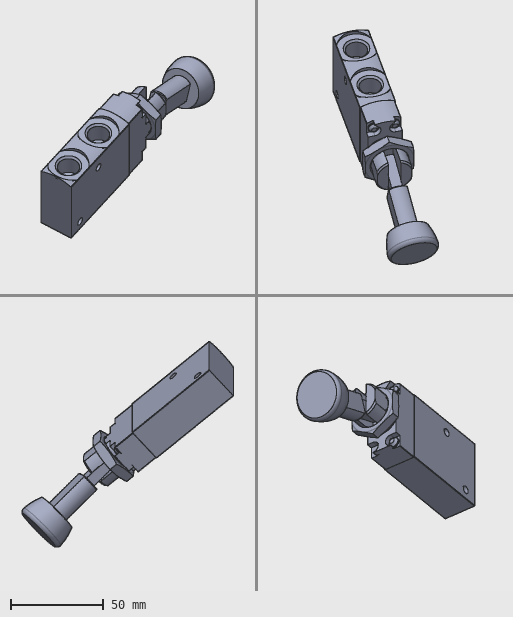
import cadquery as cq
import math


body_width = 20.0
cap_width = 19.2
body_length = 55.2
cap_end = 71.4
side_half_height = 21.0
crown_height = 23.0
edge_chamfer = 0.3

port_centers_y = (11.8, 40.2)
port_diameter = 12.0
port_depth = 12.2
port_mouth_diameter = 14.3
spot_face_diameter = 22.3
mounting_hole_diameter = 4.5
mounting_holes_yz = ((8.4, -15.0), (25.8, 13.0))

screw_x = 5.8
screw_z = 17.3
pocket_diameter = 6.8
pocket_floor = 67.9
pocket_relief_angle = 45.0
head_diameter = 6.0
head_top_diameter = 3.1
head_rim = 0.8
head_height = 2.5

neck_diameter = 21.9
neck_core_diameter = 20.4
neck_end = 90.6
neck_chamfer = 1.0
slot_width = 6.9
slot_floor = 74.8

nut_start = 74.5
nut_end = 80.3
nut_across_flats = 27.2
nut_sides = 6
nut_corner_chamfer_angle = 15.0

pivot_y = 75.7
lever_tilt = 20.0
tongue_start = 0.5
tongue_width = 6.1
tongue_height = 8.0
stem_start = 21.0
stem_diameter = 15.3
stem_width = 10.3
stem_chamfer = 0.5
knob_start = 45.0
knob_widest = 56.0
knob_end = 58.7
knob_base_diameter = 23.3
knob_middle_diameter = 26.8
knob_diameter = 28.4
knob_shoulder_diameter = 27.3
knob_shoulder = 57.9
knob_face_diameter = 25.5


def along_y(y):
    """Plane across the valve at the given Y; local x is X and local y is Z."""
    return cq.Workplane(cq.Plane(origin=(0, y, 0), xDir=(1, 0, 0), normal=(0, -1, 0)))


def crowned_block(width, start, end):
    """Block with chamfered long edges and an arched top, between two Y positions."""
    half_width = width / 2
    inner_width = half_width - edge_chamfer
    inner_height = side_half_height - edge_chamfer
    return (
        along_y(end)
        .moveTo(-inner_width, -side_half_height)
        .lineTo(inner_width, -side_half_height)
        .lineTo(half_width, -inner_height)
        .lineTo(half_width, inner_height)
        .lineTo(inner_width, side_half_height)
        .threePointArc((0, crown_height), (-inner_width, side_half_height))
        .lineTo(-half_width, inner_height)
        .lineTo(-half_width, -inner_height)
        .close()
        .extrude(end - start)
    )


def disc(diameter, start, end):
    """Round bar on the neck axis between two Y positions."""
    return along_y(end).circle(diameter / 2).extrude(end - start)


def make_body():
    """Crowned block with two spot-faced ports and two cross holes."""
    body = crowned_block(body_width, 0, body_length)
    mouth_depth = (port_mouth_diameter - port_diameter) / 2
    for y in port_centers_y:
        seat = cq.Workplane("XY", origin=(0, y, side_half_height))
        body = body.cut(seat.circle(spot_face_diameter / 2).extrude(crown_height))
        body = body.cut(seat.circle(port_diameter / 2).extrude(-port_depth))
        mouth = cq.Solid.makeCone(
            port_mouth_diameter / 2,
            port_diameter / 2,
            mouth_depth,
            pnt=cq.Vector(0, y, side_half_height),
            dir=cq.Vector(0, 0, -1),
        )
        body = body.cut(cq.Workplane(mouth))
    holes = (
        cq.Workplane("YZ", origin=(-body_width, 0, 0))
        .pushPoints(mounting_holes_yz)
        .circle(mounting_hole_diameter / 2)
        .extrude(2 * body_width)
    )
    return body.cut(holes)


def make_pocket(x, z):
    """Round pocket open to the near side, and through the crown or the bottom face."""
    side = math.copysign(1, x)
    radius = pocket_diameter / 2
    depth = cap_end - pocket_floor
    outward = side * cap_width
    plane = along_y(cap_end)
    pocket = plane.center(x, z).circle(radius).extrude(depth)
    to_side = plane.center(x + outward / 2, z).rect(cap_width, pocket_diameter).extrude(depth)
    pocket = pocket.union(to_side)
    if z > 0:
        slope = math.radians(pocket_relief_angle)
        tangent_x = x - side * radius * math.sin(slope)
        tangent_z = z + radius * math.cos(slope)
        relief = (
            plane.moveTo(tangent_x, tangent_z)
            .lineTo(tangent_x + outward * math.cos(slope), tangent_z + cap_width * math.sin(slope))
            .lineTo(x + outward, z)
            .lineTo(x, z)
            .close()
            .extrude(depth)
        )
        return pocket.union(relief)
    corner = plane.center(x + outward / 2, z - radius).rect(cap_width, pocket_diameter).extrude(depth)
    return pocket.union(corner)


def make_neck():
    """Neck with two flats level with the cap sides, cut down to its core inside the nut."""
    neck = disc(neck_diameter, cap_end, neck_end).faces(">Y").chamfer(neck_chamfer)
    core = disc(neck_core_diameter, nut_start, nut_end)
    thread_ring = disc(neck_diameter, nut_start, nut_end).cut(core)
    neck = neck.cut(thread_ring)
    flats = along_y(neck_end).rect(cap_width, 2 * neck_diameter).extrude(neck_end - cap_end)
    slot = along_y(neck_end).rect(slot_width, 2 * neck_diameter).extrude(neck_end - slot_floor)
    return neck.intersect(flats).cut(slot)


def make_cap():
    """End cap with a pocket in each corner, carrying the neck."""
    cap = crowned_block(cap_width, body_length, cap_end)
    for x in (-screw_x, screw_x):
        for z in (-screw_z, screw_z):
            cap = cap.cut(make_pocket(x, z))
    return cap.union(make_neck())


def make_nut():
    """Hexagon with its corners turned off at both ends and a bore countersunk at both ends."""
    corner_diameter = nut_across_flats / math.cos(math.pi / nut_sides)
    corner_overhang = (corner_diameter - nut_across_flats) / 2
    corner_drop = corner_overhang * math.tan(math.radians(nut_corner_chamfer_angle))
    hexagon = (
        along_y(nut_end)
        .polygon(nut_sides, corner_diameter)
        .extrude(nut_end - nut_start)
        .rotate((0, 0, 0), (0, 1, 0), 180 / nut_sides)
    )
    envelope = disc(corner_diameter, nut_start, nut_end)
    envelope = envelope.faces("<Y or >Y").chamfer(corner_drop, corner_overhang)
    bore = disc(neck_core_diameter, nut_start, nut_end)
    countersink = (neck_diameter - neck_core_diameter) / 2
    bore_edges = cq.selectors.RadiusNthSelector(0)
    nut = hexagon.intersect(envelope).cut(bore)
    return nut.edges("%CIRCLE").edges(bore_edges).chamfer(countersink)


def make_screw(x, z):
    """Button head seated on the pocket floor."""
    return (
        cq.Workplane("XY")
        .lineTo(head_diameter / 2, 0)
        .lineTo(head_diameter / 2, head_rim)
        .lineTo(head_top_diameter / 2, head_height)
        .lineTo(0, head_height)
        .close()
        .revolve(360, (0, 0), (0, 1))
        .translate((x, pocket_floor, z))
    )


def make_lever():
    """Tongue, flatted stem and knob on one axis, tilted down about the pivot."""
    tongue = along_y(stem_start).rect(tongue_width, tongue_height).extrude(stem_start - tongue_start)
    stem_length = knob_start - stem_start
    stem = disc(stem_diameter, stem_start, knob_start).faces("<Y").chamfer(stem_chamfer)
    stem_flats = along_y(knob_start).rect(stem_width, stem_diameter).extrude(stem_length)
    knob = (
        cq.Workplane("XY")
        .moveTo(0, knob_start)
        .lineTo(knob_base_diameter / 2, knob_start)
        .threePointArc(
            (knob_middle_diameter / 2, (knob_start + knob_widest) / 2),
            (knob_diameter / 2, knob_widest),
        )
        .threePointArc((knob_shoulder_diameter / 2, knob_shoulder), (knob_face_diameter / 2, knob_end))
        .lineTo(0, knob_end)
        .close()
        .revolve(360, (0, 0), (0, 1))
    )
    lever = tongue.union(stem.intersect(stem_flats)).union(knob)
    return lever.rotate((0, 0, 0), (1, 0, 0), -lever_tilt).translate((0, pivot_y, 0))


body = make_body()
cap = make_cap()
nut = make_nut()
lever = make_lever()
screw_places = ((-screw_x, -screw_z), (-screw_x, screw_z), (screw_x, screw_z))
screws = [make_screw(x, z) for x, z in screw_places]

result = cq.Compound.makeCompound(
    [body.val(), cap.val(), nut.val(), lever.val(), *[screw.val() for screw in screws]]
)